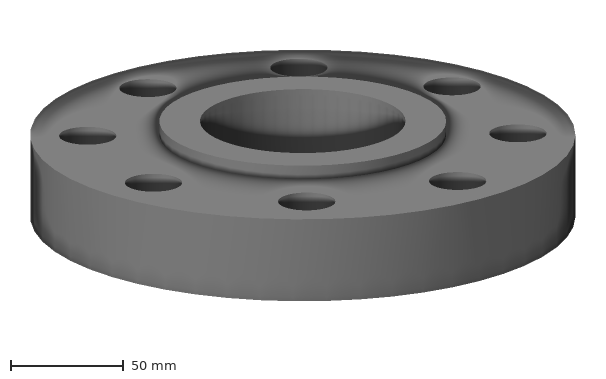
import cadquery as cq

flange_diameter = 241.3
flange_thickness = 38.1

collar_diameter = 127.0
raised_face_height = 6.3
overall_height = 60.0
hub_height = overall_height - flange_thickness - raised_face_height

bore_diameter = 91.0

bolt_count = 8
bolt_hole_diameter = 25.3
bolt_circle_diameter = 190.5
bolt_spacing_angle = 360 / bolt_count
first_bolt_angle = bolt_spacing_angle / 2


def cylinder(diameter, height, base_z=0):
    """Solid upright cylinder on the Z axis."""
    return cq.Workplane("XY").workplane(offset=base_z).circle(diameter / 2).extrude(height)


def bolt_holes():
    """Ring of cylinders that cut the bolt holes through the disc."""
    return (
        cq.Workplane("XY")
        .workplane(offset=hub_height)
        .polarArray(bolt_circle_diameter / 2, first_bolt_angle, 360, bolt_count)
        .circle(bolt_hole_diameter / 2)
        .extrude(flange_thickness)
    )


collar = cylinder(collar_diameter, overall_height)
disc = cylinder(flange_diameter, flange_thickness, hub_height)
bore = cylinder(bore_diameter, overall_height)

result = collar.union(disc).cut(bore).cut(bolt_holes())